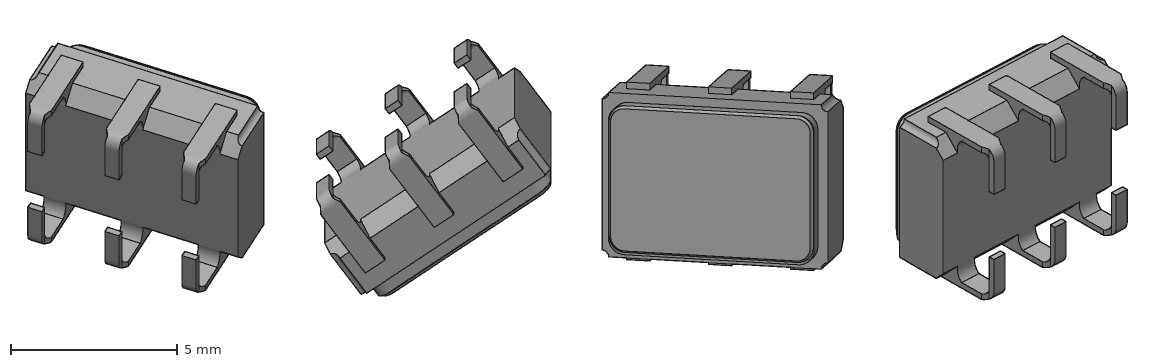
import cadquery as cq
import math


base_length = 7.01
base_depth = 1.9
base_front = 1.45
front_chamfer = 0.505
corner_notch_radius = 0.2

overall_width = 5.49
lead_thickness = 0.2
lead_width = 0.72
foot_width = 0.47
lead_pitch = 2.545
leads_per_row = 3
lead_reach = 2.73
foot_length = 1.58
inner_bend_radius = 0.2
gusset_reach = 0.18
gusset_radius = 0.5

corner_radius = 0.5
ring_length = 6.39
ring_width = 4.605
ring_height = 0.44
lid_length = 6.345
lid_width = 4.535
ring_shift = -0.035
lid_thickness = 0.12
lid_cove_depth = 0.07

base_width = overall_width - 2 * lead_thickness
base_back = base_front + base_depth
ring_back = base_back + ring_height
lid_back = ring_back + lid_thickness
outer_bend_radius = inner_bend_radius + lead_thickness
lead_outer_z = overall_width / 2
lead_inner_z = base_width / 2


def rounded_plate(length, width, radius, front, thickness):
    """Plate lying across Y, with rounded corners, growing toward +Y from its front face."""
    return (
        cq.Workplane("XZ", origin=(0, front, 0))
        .rect(length, width)
        .extrude(-thickness)
        .edges("|Y")
        .fillet(radius)
    )


def make_base_block():
    """Block with its two long front edges chamfered and its four corners notched along Y."""
    block = (
        cq.Workplane("XZ", origin=(0, base_front, 0))
        .rect(base_length, base_width)
        .extrude(-base_depth)
        .faces("<Y")
        .edges("|X")
        .chamfer(front_chamfer)
    )
    notches = (
        cq.Workplane("XZ", origin=(0, base_front, 0))
        .rect(base_length, base_width, forConstruction=True)
        .vertices()
        .circle(corner_notch_radius)
        .extrude(-base_depth)
    )
    return block.cut(notches)


def bend_point(radius):
    """Middle of a bend arc, as (Y, Z), at 45 degrees around the shared bend centre."""
    offset = radius * math.sqrt(0.5)
    return (outer_bend_radius - offset, lead_outer_z - outer_bend_radius + offset)


def make_lead():
    """Upper lead at X = 0: a J-shaped strip with a gusset filling the base chamfer."""
    bend_z = lead_outer_z - outer_bend_radius
    foot_tip_z = lead_outer_z - foot_length
    profile = (
        cq.Workplane("YZ")
        .moveTo(lead_reach, lead_outer_z)
        .lineTo(outer_bend_radius, lead_outer_z)
        .threePointArc(bend_point(outer_bend_radius), (0, bend_z))
        .lineTo(0, foot_tip_z)
        .lineTo(lead_thickness, foot_tip_z)
        .lineTo(lead_thickness, bend_z)
        .threePointArc(bend_point(inner_bend_radius), (outer_bend_radius, lead_inner_z))
        .lineTo(base_front - gusset_reach, lead_inner_z)
        .radiusArc((base_front, lead_inner_z - front_chamfer), gusset_radius)
        .lineTo(base_front + front_chamfer, lead_inner_z)
        .lineTo(lead_reach, lead_inner_z)
        .close()
        .extrude(lead_width / 2, both=True)
    )
    outline = (
        cq.Workplane("XY")
        .polyline([
            (-foot_width / 2, 0),
            (foot_width / 2, 0),
            (foot_width / 2, lead_thickness),
            (lead_width / 2, outer_bend_radius),
            (lead_width / 2, lead_reach),
            (-lead_width / 2, lead_reach),
            (-lead_width / 2, outer_bend_radius),
            (-foot_width / 2, lead_thickness),
        ])
        .close()
        .extrude(lead_outer_z)
    )
    return profile.intersect(outline)


def make_base():
    """Base block carrying a row of leads on its upper and lower sides."""
    body = make_base_block()
    upper_lead = make_lead()
    lower_lead = upper_lead.mirror("XY")
    for index in range(leads_per_row):
        x = (index - (leads_per_row - 1) / 2) * lead_pitch
        for lead in (upper_lead, lower_lead):
            body = body.union(lead.translate((x, 0, 0)))
    return body


def make_seal_ring():
    ring = rounded_plate(ring_length, ring_width, corner_radius, base_back, ring_height)
    return ring.translate((0, 0, ring_shift))


def make_lid():
    """Lid whose rim is a hollow curve, widest where it rests on the ring."""
    blank = rounded_plate(lid_length, lid_width, corner_radius, ring_back, lid_thickness)

    cove_radius = (lid_thickness**2 + lid_cove_depth**2) / (2 * lid_cove_depth)
    half_width = lid_width / 2
    top_half_width = half_width - lid_cove_depth
    cutter = (
        cq.Workplane("YZ")
        .moveTo(ring_back, half_width)
        .radiusArc((lid_back, top_half_width), -cove_radius)
        .lineTo(lid_back, half_width)
        .close()
        .sweep(blank.faces("<Y").wires())
    )
    return blank.cut(cutter)


base = make_base()
seal_ring = make_seal_ring()
lid = make_lid()

result = cq.Compound.makeCompound([base.val(), seal_ring.val(), lid.val()])